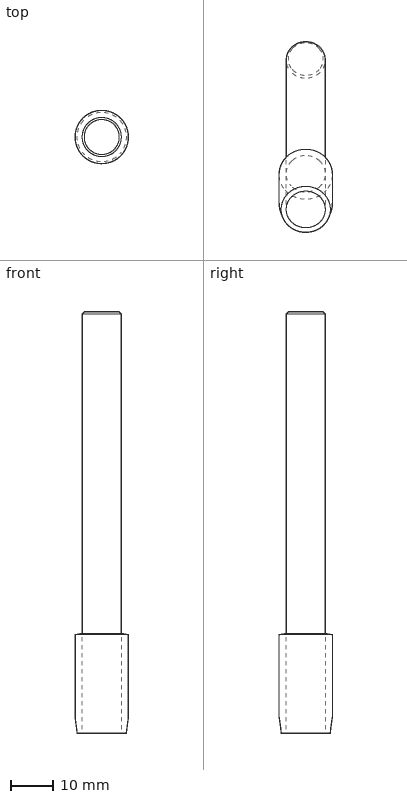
import cadquery as cq

TOTAL_LENGTH = 100.0

ROD_DIAMETER = 9.3
ROD_RADIUS = ROD_DIAMETER / 2
ROD_CHAMFER = 0.5

SLEEVE_DIAMETER = 12.7
SLEEVE_RADIUS = SLEEVE_DIAMETER / 2
SLEEVE_SHOULDER_HEIGHT = 23.4
SLEEVE_CROWN_RISE = 0.3
LEAD_IN_LENGTH = 3.8
LEAD_IN_DIAMETER = 11.7
LEAD_IN_RADIUS = LEAD_IN_DIAMETER / 2


def make_rod():
    """Round rod standing on Z = 0, chamfered at its top end."""
    rod = cq.Workplane("XY").circle(ROD_RADIUS).extrude(TOTAL_LENGTH)
    return rod.faces(">Z").chamfer(ROD_CHAMFER)


def make_sleeve():
    """Sleeve that fits the rod, with a tapered lower end and a shallow conical top."""
    profile = (
        cq.Workplane("XZ")
        .moveTo(ROD_RADIUS, 0)
        .lineTo(LEAD_IN_RADIUS, 0)
        .lineTo(SLEEVE_RADIUS, LEAD_IN_LENGTH)
        .lineTo(SLEEVE_RADIUS, SLEEVE_SHOULDER_HEIGHT)
        .lineTo(ROD_RADIUS, SLEEVE_SHOULDER_HEIGHT + SLEEVE_CROWN_RISE)
        .close()
    )
    return profile.revolve(360, (0, 0, 0), (0, 1, 0))


rod = make_rod()
sleeve = make_sleeve()
result = cq.Compound.makeCompound([rod.val(), sleeve.val()])